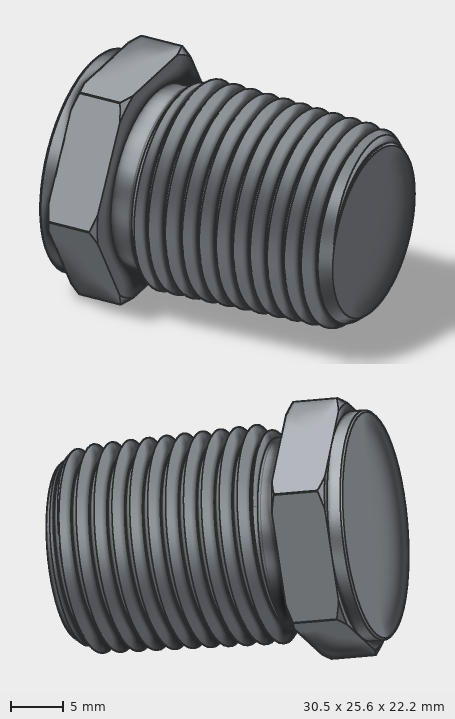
import math

import cadquery as cq

TOTAL_LENGTH = 30.5

HEX_SIDES = 6
ACROSS_FLATS = 22.2
COLLAR_RADIUS = ACROSS_FLATS / 2
COLLAR_LENGTH = 1.5
COLLAR_CHAMFER = 0.2
HEX_END = 6.8
CORNER_RADIUS = 12.785
CORNER_FACE_RADIUS = 12.0
CORNER_BEVEL_ANGLE = 30.0

NECK_RADIUS = 9.2
NECK_END = 8.8

MM_PER_INCH = 25.4
TURNS_PER_INCH = 14
PITCH = MM_PER_INCH / TURNS_PER_INCH
TAPER = 1 / 32
THREAD_DEPTH = 0.8 * PITCH
FLANK_ANGLE = 30.0
RIDGE_HALF_WIDTH = THREAD_DEPTH * math.tan(math.radians(FLANK_ANGLE))
RIDGE_EMBED = 0.3
CREST_AT_BOTTOM = 10.23
LEAD_TURNS = 2

FUSE_TOLERANCE = 0.001

HEAD_BEVEL_START = 9.07
HEAD_BEVEL_SLOPE = 1.36
TIP_BEVEL_LENGTH = PITCH
ENVELOPE_CLEARANCE = 1.0


def root_radius(x):
    return NECK_RADIUS - TAPER * (x - NECK_END)


def crest_radius(x):
    return root_radius(x) + THREAD_DEPTH


TIP_RADIUS = root_radius(TOTAL_LENGTH)


def revolve_about_x(points):
    """Solid of revolution from (x, radius) points."""
    return cq.Workplane("XY").polyline(points).close().revolve(360, (0, 0, 0), (1, 0, 0))


def make_collar():
    collar = cq.Workplane("YZ").circle(COLLAR_RADIUS).extrude(COLLAR_LENGTH)
    return collar.faces("<X").chamfer(COLLAR_CHAMFER)


def make_hexagon():
    """Hexagon with corners on Y, flats on Z and bevelled corners at both ends."""
    corner_diameter = ACROSS_FLATS / math.cos(math.pi / HEX_SIDES)
    prism = (
        cq.Workplane("YZ", origin=(COLLAR_LENGTH, 0, 0))
        .polygon(HEX_SIDES, corner_diameter)
        .extrude(HEX_END - COLLAR_LENGTH)
    )
    bevel_length = (CORNER_RADIUS - CORNER_FACE_RADIUS) * math.tan(math.radians(CORNER_BEVEL_ANGLE))
    envelope = revolve_about_x(
        [
            (COLLAR_LENGTH, 0),
            (COLLAR_LENGTH, CORNER_FACE_RADIUS),
            (COLLAR_LENGTH + bevel_length, CORNER_RADIUS),
            (HEX_END - bevel_length, CORNER_RADIUS),
            (HEX_END, CORNER_FACE_RADIUS),
            (HEX_END, 0),
        ]
    )
    return prism.intersect(envelope)


def make_core():
    """Neck and tapered root surface of the thread."""
    return revolve_about_x(
        [
            (COLLAR_LENGTH, 0),
            (COLLAR_LENGTH, NECK_RADIUS),
            (NECK_END, NECK_RADIUS),
            (TOTAL_LENGTH, TIP_RADIUS),
            (TOTAL_LENGTH, 0),
        ]
    )


def make_thread_envelope():
    """Space the ridge may fill: bevelled at both ends and clear of the crests between."""
    tip_bevel_start = TOTAL_LENGTH - TIP_BEVEL_LENGTH
    tip_slope = (crest_radius(tip_bevel_start) - TIP_RADIUS) / TIP_BEVEL_LENGTH
    outer_radius = crest_radius(HEAD_BEVEL_START) + ENVELOPE_CLEARANCE
    head_bevel_length = (outer_radius - root_radius(HEAD_BEVEL_START)) / HEAD_BEVEL_SLOPE
    tip_bevel_length = (outer_radius - TIP_RADIUS) / tip_slope
    return revolve_about_x(
        [
            (HEAD_BEVEL_START, 0),
            (HEAD_BEVEL_START, root_radius(HEAD_BEVEL_START)),
            (HEAD_BEVEL_START + head_bevel_length, outer_radius),
            (TOTAL_LENGTH - tip_bevel_length, outer_radius),
            (TOTAL_LENGTH, TIP_RADIUS),
            (TOTAL_LENGTH, 0),
        ]
    )


def make_ridge():
    """Right-handed tapered ridge, swept along Z and then laid along X, starting on the -Z side."""
    start = CREST_AT_BOTTOM - LEAD_TURNS * PITCH
    turns = math.ceil((TOTAL_LENGTH - start) / PITCH) + 1
    root = root_radius(start)
    helix = cq.Wire.makeHelix(PITCH, turns * PITCH, root, angle=-math.degrees(math.atan(TAPER)))
    ridge = (
        cq.Workplane("XZ")
        .polyline(
            [
                (root - RIDGE_EMBED, -RIDGE_HALF_WIDTH),
                (root + TAPER * RIDGE_HALF_WIDTH, -RIDGE_HALF_WIDTH),
                (root + THREAD_DEPTH, 0),
                (root - TAPER * RIDGE_HALF_WIDTH, RIDGE_HALF_WIDTH),
                (root - RIDGE_EMBED, RIDGE_HALF_WIDTH),
            ]
        )
        .close()
        .sweep(cq.Workplane(helix), isFrenet=True)
    )
    return ridge.rotate((0, 0, 0), (0, 1, 0), 90).translate((start, 0, 0))


thread = make_ridge().intersect(make_thread_envelope())
threaded_shank = make_core().union(thread, tol=FUSE_TOLERANCE)
result = threaded_shank.union(make_hexagon()).union(make_collar())